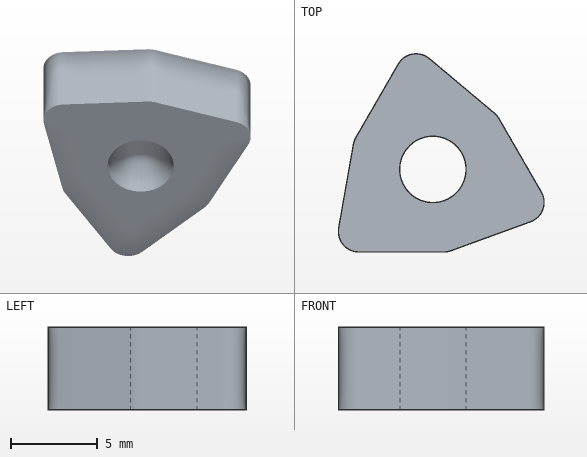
import cadquery as cq
import math

inscribed_diameter = 9.525
thickness = 4.7625
hole_diameter = 3.81
corner_radius = 1.19
side_blend_radius = 1.19

corner_count = 3
corner_angle = 80.0
corner_pitch = 360.0 / corner_count
first_corner_direction = 100.0

corner_half_turn = (180.0 - corner_angle) / 2
bend_half_turn = corner_pitch / 2 - corner_half_turn


def tangent_vertex(direction, half_turn):
    """Meeting point of two sides tangent to the inscribed circle."""
    distance = inscribed_diameter / 2 / math.cos(math.radians(half_turn))
    angle = math.radians(direction)
    return (distance * math.cos(angle), distance * math.sin(angle))


def round_edges(body, vertices, radius):
    """Round the vertical edges standing on the given outline vertices."""
    for x, y in vertices:
        nearest_edge = cq.selectors.NearestToPointSelector((x, y, thickness / 2))
        body = body.edges("|Z").edges(nearest_edge).fillet(radius)
    return body


corners = []
bends = []
for index in range(corner_count):
    direction = first_corner_direction + index * corner_pitch
    corners.append(tangent_vertex(direction, corner_half_turn))
    bends.append(tangent_vertex(direction + corner_pitch / 2, bend_half_turn))

outline = []
for corner, bend in zip(corners, bends):
    outline += [corner, bend]

body = cq.Workplane("XY").polyline(outline).close().extrude(thickness)
body = round_edges(body, corners, corner_radius)
body = round_edges(body, bends, side_blend_radius)

hole = cq.Workplane("XY").circle(hole_diameter / 2).extrude(thickness)

result = body.cut(hole)